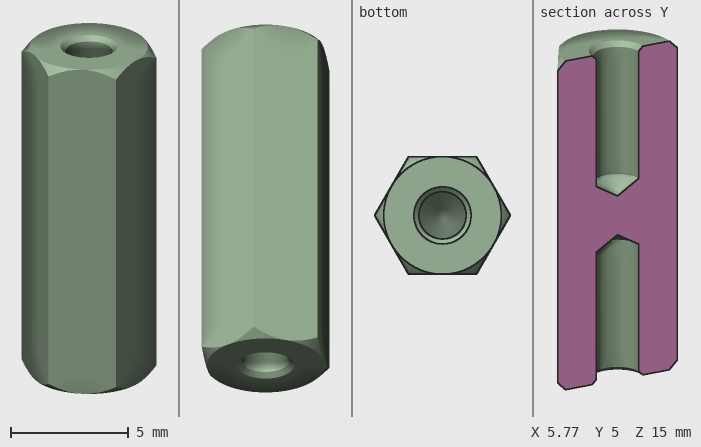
import cadquery as cq
import math

length = 15.0
across_flats = 5.0
corner_chamfer_angle = 45.0

hole_diameter = 2.01
hole_depth = 6.0
drill_point_angle = 118.0
countersink_diameter = 2.43
countersink_angle = 90.0

across_corners = across_flats / math.cos(math.radians(30))
flat_radius = across_flats / 2
corner_radius = across_corners / 2
hole_radius = hole_diameter / 2
countersink_radius = countersink_diameter / 2


def revolve_profile(points):
    """Revolve (radius, z) points about the Z axis."""
    return cq.Workplane("XZ").polyline(points).close().revolve(360, (0, 0), (0, 1))


def chamfer_envelope():
    """Round bar with coned ends that bevels the hexagon corners."""
    cone_height = (corner_radius - flat_radius) * math.tan(math.radians(corner_chamfer_angle))
    return revolve_profile([
        (0, 0),
        (flat_radius, 0),
        (corner_radius, cone_height),
        (corner_radius, length - cone_height),
        (flat_radius, length),
        (0, length),
    ])


def top_hole():
    """Countersunk blind hole with a drill point, open at the top face."""
    sink_depth = (countersink_radius - hole_radius) / math.tan(math.radians(countersink_angle / 2))
    point_depth = hole_radius / math.tan(math.radians(drill_point_angle / 2))
    return revolve_profile([
        (0, length),
        (countersink_radius, length),
        (hole_radius, length - sink_depth),
        (hole_radius, length - hole_depth),
        (0, length - hole_depth - point_depth),
    ])


bar = cq.Workplane("XY").polygon(6, across_corners).extrude(length)
upper_hole = top_hole()
lower_hole = upper_hole.mirror("XY", (0, 0, length / 2))

result = bar.intersect(chamfer_envelope()).cut(upper_hole).cut(lower_hole)